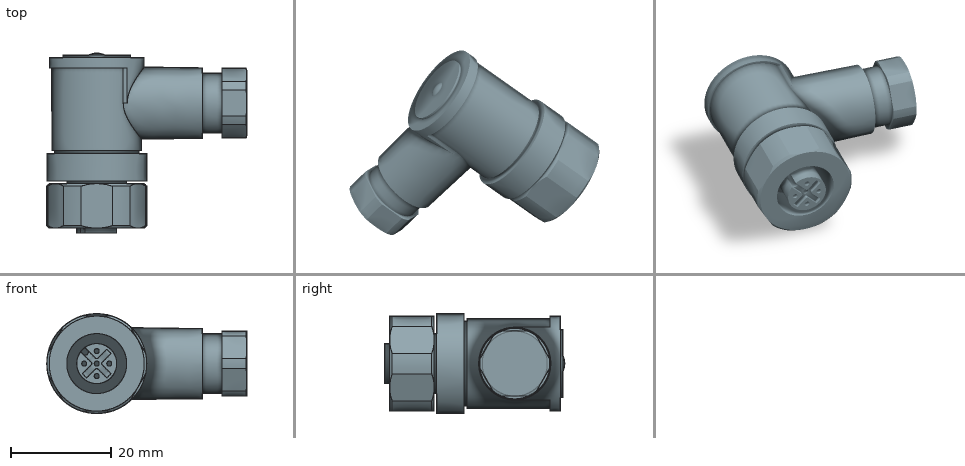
import cadquery as cq
import math


dome_top_y = 10.0
disc_back_y = 9.6
cap_back_y = 9.1
body_back_y = 7.0
body_front_y = -9.5
collar_back_y = -10.1
collar_front_y = -15.6
nut_back_y = -16.1
nut_front_y = -25.0
tip_y = -26.0

dome_radius = 1.6
disc_radius = 6.8
cap_radius = 9.5
body_radius = 9.0
groove_radius = 8.5
collar_radius = 10.0
neck_radius = 6.0

nut_across_flats = 19.0
nut_corner_radius = 10.0
nut_chamfer_length = 0.5
nut_bore_radius = 6.0
nut_bore_depth = 8.0

insert_radius = 4.0
contact_hole_radius = 0.5
contact_hole_depth = 3.0
contact_circle_radius = 2.5
contact_count = 4
cross_width = 1.2
cross_length = 6.9
cross_depth = 0.8
cross_corner_radius = 0.3
keyway_inner_reach = 2.62
keyway_arc_start = 3.1
keyway_depth = nut_bore_depth
keyway_angle = 135.0

arm_end_x = 21.1
gland_start_x = 25.0
gland_end_x = 30.0
arm_root_radius = 7.35
arm_end_radius = 7.05
arm_neck_radius = 6.0
saddle_half_width = 7.3
gland_across_flats = 13.0
gland_corner_radius = 7.0
gland_chamfer_length = 0.15


def plug_cylinder(radius, y_back, y_front):
    """Cylinder on the Y axis between two stations, y_back being the larger."""
    return cq.Workplane("XZ", origin=(0, y_back, 0)).circle(radius).extrude(y_back - y_front)


def arm_cylinder(radius, x_start, x_end):
    """Cylinder on the X axis between two stations."""
    return cq.Workplane("YZ", origin=(x_start, 0, 0)).circle(radius).extrude(x_end - x_start)


def hexagon(workplane, across_flats, length):
    """Hexagonal prism with one pair of flats facing up and down Z."""
    across_corners = across_flats / math.cos(math.pi / 6)
    return workplane.polygon(6, across_corners).extrude(length)


def make_cap():
    """Back cap with a raised pad of the same radius running down to the arm axis."""
    turned = plug_cylinder(cap_radius, cap_back_y, 0)
    cap_width = 2 * cap_radius
    rim_limits = cq.Workplane("XY", origin=(0, body_back_y, 0)).box(
        cap_width, cap_back_y - body_back_y, cap_width, centered=(True, False, True)
    )
    saddle_limits = cq.Workplane("XY").box(
        cap_radius, cap_back_y, 2 * saddle_half_width, centered=(False, False, True)
    )
    return turned.intersect(rim_limits.union(saddle_limits))


def make_plug_body():
    """Stack of turned steps from the back disc down to the neck behind the nut."""
    body = plug_cylinder(disc_radius, disc_back_y, cap_back_y)
    body = body.union(make_cap())
    body = body.union(plug_cylinder(body_radius, body_back_y, body_front_y))
    body = body.union(plug_cylinder(groove_radius, body_front_y, collar_back_y))
    body = body.union(plug_cylinder(collar_radius, collar_back_y, collar_front_y))
    return body.union(plug_cylinder(neck_radius, collar_front_y, nut_back_y))


def make_dome():
    """Shallow spherical cap in the middle of the back disc."""
    rise = dome_top_y - disc_back_y
    sphere_radius = (dome_radius**2 + rise**2) / (2 * rise)
    half_profile = (
        cq.Workplane("XY")
        .moveTo(0, disc_back_y)
        .lineTo(dome_radius, disc_back_y)
        .radiusArc((0, dome_top_y), -sphere_radius)
        .close()
    )
    return half_profile.revolve(360, (0, 0, 0), (0, 1, 0))


def make_nut():
    """Coupling nut: hexagon with turned corners, chamfered at both ends, open at the front."""
    length = nut_back_y - nut_front_y
    flats = hexagon(cq.Workplane("XZ", origin=(0, nut_back_y, 0)), nut_across_flats, length)
    turned = plug_cylinder(nut_corner_radius, nut_back_y, nut_front_y)
    turned = turned.faces("<Y or >Y").chamfer(nut_chamfer_length)
    bore = plug_cylinder(nut_bore_radius, nut_front_y + nut_bore_depth, nut_front_y)
    return flats.intersect(turned).cut(bore)


def make_cross_slot():
    """Shallow X-shaped slot in the face of the insert; the keyway arm runs out to the rim."""
    face = cq.Workplane("XZ", origin=(0, tip_y + cross_depth, 0))
    keyway_arm = (
        face.transformed(rotate=(0, 0, keyway_angle))
        .center(insert_radius / 2, 0)
        .rect(insert_radius, cross_width)
        .extrude(cross_depth)
    )
    cross = keyway_arm
    for angle in (keyway_angle, keyway_angle - 90):
        bar = face.transformed(rotate=(0, 0, angle)).rect(cross_length, cross_width).extrude(cross_depth)
        cross = cross.union(bar)
    corner_box = cq.selectors.BoxSelector(
        (-cross_width, tip_y, -cross_width),
        (cross_width, tip_y + cross_depth, cross_width),
    )
    return cross.edges("|Y").edges(corner_box).fillet(cross_corner_radius)


def make_contact_holes():
    """One contact hole on the axis and the others evenly spaced around it."""
    return (
        cq.Workplane("XZ", origin=(0, tip_y + contact_hole_depth, 0))
        .polarArray(contact_circle_radius, 0, 360, contact_count)
        .circle(contact_hole_radius)
        .extrude(contact_hole_depth)
        .union(plug_cylinder(contact_hole_radius, tip_y + contact_hole_depth, tip_y))
    )


def make_keyway():
    """Round-bottomed keyway in the side of the insert, as wide as the cross slot."""
    half_width = cross_width / 2
    outer_reach = insert_radius + half_width
    return (
        cq.Workplane("XZ", origin=(0, tip_y + keyway_depth, 0))
        .transformed(rotate=(0, 0, keyway_angle))
        .moveTo(outer_reach, half_width)
        .lineTo(keyway_arc_start, half_width)
        .threePointArc((keyway_inner_reach, 0), (keyway_arc_start, -half_width))
        .lineTo(outer_reach, -half_width)
        .close()
        .extrude(keyway_depth)
    )


def make_insert():
    """Round contact insert inside the nut, with its slot, holes and side keyway."""
    insert = plug_cylinder(insert_radius, nut_front_y + nut_bore_depth, tip_y)
    return insert.cut(make_cross_slot()).cut(make_contact_holes()).cut(make_keyway())


def make_arm():
    """Tapered cable arm with its thinner neck."""
    taper = (
        cq.Workplane("YZ")
        .circle(arm_root_radius)
        .workplane(offset=arm_end_x)
        .circle(arm_end_radius)
        .loft()
    )
    return taper.union(arm_cylinder(arm_neck_radius, arm_end_x, gland_start_x))


def make_gland():
    """Hexagonal cable gland with turned corners and a slight bevel at its outer end."""
    length = gland_end_x - gland_start_x
    flats = hexagon(cq.Workplane("YZ", origin=(gland_start_x, 0, 0)), gland_across_flats, length)
    turned = arm_cylinder(gland_corner_radius, gland_start_x, gland_end_x)
    bevel_width = gland_corner_radius - gland_across_flats / 2
    turned = turned.faces(">X").edges().chamfer(gland_chamfer_length, bevel_width)
    return flats.intersect(turned)


result = make_plug_body()
for feature in (make_dome(), make_arm(), make_gland(), make_nut(), make_insert()):
    result = result.union(feature)